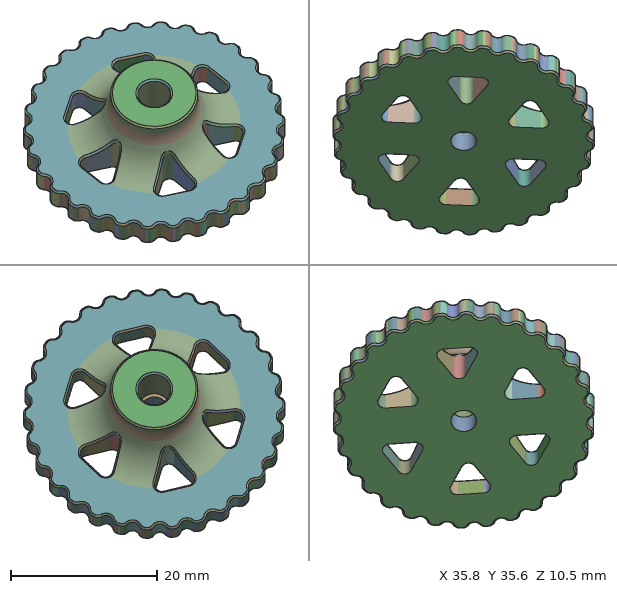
import cadquery as cq
import math

disc_thickness = 3.5
total_height = 10.5
edge_chamfer = 0.25

tip_radius = 17.9
tooth_count = 30
scallop_radius = 1.0
scallop_centre_radius = 18.0
tooth_corner_radius = 1.0

hub_radius = 11.92 / 2
collar_bottom = 9.1
upper_flare_radius = 5.0
lower_flare_radius = 6.0

bore_diameter = 3.5
counterbore_diameter = 4.5
counterbore_depth = total_height - disc_thickness

window_count = 6
window_centre_radius = 10.05
window_corner_radius = 1.0
window_corner_centre_radius = 2.05


def polar(radius, angle):
    """Point at a radius and an angle in radians."""
    return (radius * math.cos(angle), radius * math.sin(angle))


def point_between(start, end, distance):
    """Point at a distance from start on the way to end."""
    fraction = distance / math.dist(start, end)
    return (
        start[0] + fraction * (end[0] - start[0]),
        start[1] + fraction * (end[1] - start[1]),
    )


def spin(body, angle):
    """Turn a body about the Z axis by an angle in degrees."""
    return body.rotate((0, 0, 0), (0, 0, 1), angle)


def make_disc():
    """Disc with a scalloped rim, chamfered on both faces."""
    pitch = 2 * math.pi / tooth_count
    corner_centre_radius = tip_radius - tooth_corner_radius

    centre_distance = scallop_radius + tooth_corner_radius
    corner_offset = math.acos(
        (corner_centre_radius**2 + scallop_centre_radius**2 - centre_distance**2)
        / (2 * corner_centre_radius * scallop_centre_radius)
    )
    land_half_angle = pitch / 2 - corner_offset

    outline = cq.Workplane("XY").moveTo(*polar(tip_radius, -land_half_angle))
    for index in range(tooth_count):
        tooth_angle = index * pitch
        scallop_angle = tooth_angle + pitch / 2
        next_tooth_angle = tooth_angle + pitch
        scallop_centre = polar(scallop_centre_radius, scallop_angle)
        scallop_floor = polar(scallop_centre_radius - scallop_radius, scallop_angle)

        near_corner = polar(corner_centre_radius, tooth_angle + land_half_angle)
        far_corner = polar(corner_centre_radius, next_tooth_angle - land_half_angle)
        scallop_start = point_between(scallop_centre, near_corner, scallop_radius)
        scallop_end = point_between(scallop_centre, far_corner, scallop_radius)

        land_end = polar(tip_radius, tooth_angle + land_half_angle)
        next_land_start = polar(tip_radius, next_tooth_angle - land_half_angle)
        outline = (
            outline.threePointArc(polar(tip_radius, tooth_angle), land_end)
            .radiusArc(scallop_start, -tooth_corner_radius)
            .threePointArc(scallop_floor, scallop_end)
            .radiusArc(next_land_start, -tooth_corner_radius)
        )
    disc = outline.close().extrude(disc_thickness)
    return disc.faces("<Z or >Z").chamfer(edge_chamfer)


def make_hub():
    """Hub with a straight collar on top of a concave flare."""
    upper_centre = (hub_radius + upper_flare_radius, collar_bottom)
    lower_centre_height = disc_thickness + lower_flare_radius
    centre_distance = lower_flare_radius - upper_flare_radius
    centre_rise = lower_centre_height - collar_bottom
    foot_radius = upper_centre[0] + math.sqrt(centre_distance**2 - centre_rise**2)
    lower_centre = (foot_radius, lower_centre_height)
    flare_join = point_between(lower_centre, upper_centre, lower_flare_radius)
    return (
        cq.Workplane("XZ")
        .lineTo(foot_radius, 0)
        .lineTo(foot_radius, disc_thickness)
        .radiusArc(flare_join, lower_flare_radius)
        .radiusArc((hub_radius, collar_bottom), upper_flare_radius)
        .lineTo(hub_radius, total_height - edge_chamfer)
        .lineTo(hub_radius - edge_chamfer, total_height)
        .lineTo(0, total_height)
        .close()
        .revolve(360, (0, 0, 0), (0, 1, 0))
    )


def make_window_cutter():
    """Upright triangular prism with rounded corners, centred on +X with its apex inward."""
    sharp_corner_radius = window_corner_centre_radius + 2 * window_corner_radius
    corners = [polar(sharp_corner_radius, math.radians(turn)) for turn in (60, 180, 300)]
    return (
        cq.Workplane("XY")
        .polyline(corners)
        .close()
        .extrude(total_height)
        .edges("|Z")
        .fillet(window_corner_radius)
        .translate((window_centre_radius, 0, 0))
    )


def cut_windows(body):
    """Cut the windows between the spokes and chamfer their upper edges."""
    window_pitch = 360 / window_count
    cutter = make_window_cutter()

    reach = window_corner_centre_radius + 2 * window_corner_radius
    upper_edges = cq.selectors.BoxSelector(
        (window_centre_radius - reach, -reach, disc_thickness - edge_chamfer),
        (window_centre_radius + reach, reach, total_height - edge_chamfer),
    )

    body = spin(body, window_pitch / 2)
    for _ in range(window_count):
        body = body.cut(cutter)
        body = body.edges(upper_edges).chamfer(edge_chamfer)
        body = spin(body, window_pitch)
    return spin(body, -window_pitch / 2)


def cut_bore(body):
    """Drill the stepped bore and chamfer its mouth."""
    mouth_radius = counterbore_diameter / 2 + edge_chamfer
    floor = total_height - counterbore_depth
    profile = (
        cq.Workplane("XZ")
        .lineTo(bore_diameter / 2, 0)
        .lineTo(bore_diameter / 2, floor)
        .lineTo(counterbore_diameter / 2, floor)
        .lineTo(counterbore_diameter / 2, total_height - edge_chamfer)
        .lineTo(mouth_radius, total_height)
        .lineTo(0, total_height)
        .close()
    )
    return body.cut(profile.revolve(360, (0, 0, 0), (0, 1, 0)))


body = make_disc().union(make_hub())
body = cut_windows(body)
result = cut_bore(body)